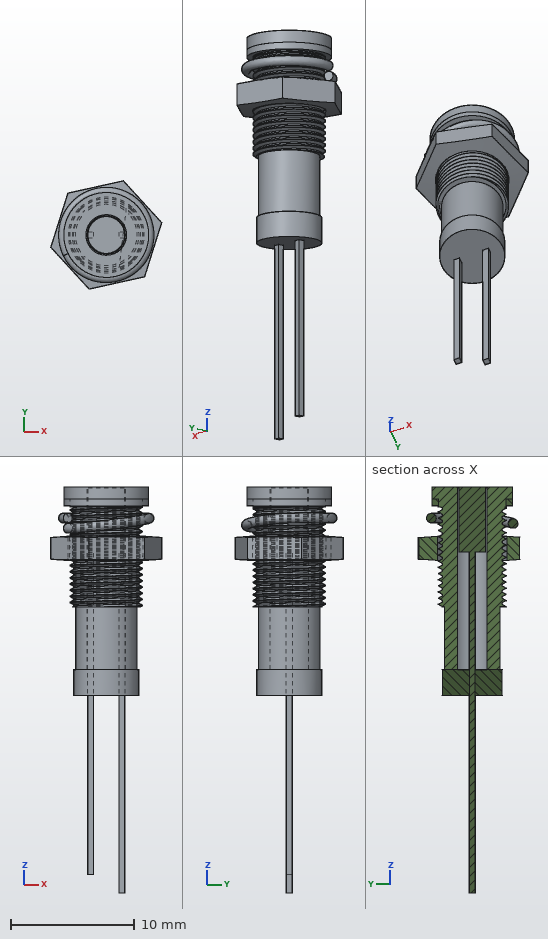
import cadquery as cq
import math


BEZEL_BOTTOM = -1.0
GASKET_BOTTOM = -1.55
NECK_BOTTOM = -1.65
NUT_TOP = -4.0
THREAD_BOTTOM = -9.75
BARREL_BOTTOM = -14.85
CAP_BOTTOM = -16.95
SHORT_LEAD_END = -31.5
LONG_LEAD_END = -33.0

BEZEL_DIA = 6.9
BARREL_DIA = 5.0
BORE_DIA = 3.1
BORE_MOUTH_CHAMFER = 0.1

THREAD_MAJOR_DIA = 5.9
THREAD_ROOT_DIA = 5.3
THREAD_PITCH = 0.5
THREAD_FLANK_ANGLE = 30
THREAD_CREST_WIDTH = 0.04
THREAD_EMBED = 0.1
THREAD_PHASE_Z = -6.14

NUT_ACROSS_FLATS = 8.0
NUT_THICKNESS = 2.0
NUT_TURN = 12.5
NUT_BORE_DIA = THREAD_MAJOR_DIA + 0.05
NUT_CORNER_DROP = 0.12

WASHER_WIRE_DIA = 0.8
WASHER_OUTER_DIA = 7.75
WASHER_RISE = 0.83
WASHER_END_Z = -2.54
WASHER_START_ANGLE = 206
WASHER_CLIMB_ANGLE = 170
WASHER_CURVE_POINTS = 72

CAP_DIA = 5.3

LED_DIA = 3.0
LED_LENGTH = 5.3
LEAD_SIZE = 0.5
LEAD_SPACING = 2.54


def cylinder(diameter, top, bottom):
    return cq.Workplane("XY").workplane(offset=bottom).circle(diameter / 2).extrude(top - bottom)


def make_thread_ridge():
    """Helical ridge, trimmed flat at the neck and at the barrel."""
    crest_radius = THREAD_MAJOR_DIA / 2
    inner_radius = THREAD_ROOT_DIA / 2 - THREAD_EMBED
    half_crest = THREAD_CREST_WIDTH / 2
    half_base = half_crest + (crest_radius - inner_radius) * math.tan(math.radians(THREAD_FLANK_ANGLE))
    turns_below = math.ceil((THREAD_PHASE_Z - THREAD_BOTTOM) / THREAD_PITCH) + 1
    turns_above = math.ceil((NECK_BOTTOM - THREAD_PHASE_Z) / THREAD_PITCH) + 1
    profile = cq.Workplane("XZ").polyline([
        (inner_radius, -half_base),
        (crest_radius, -half_crest),
        (crest_radius, half_crest),
        (inner_radius, half_base),
    ]).close()
    height = (turns_below + turns_above) * THREAD_PITCH
    helix = cq.Workplane(obj=cq.Wire.makeHelix(THREAD_PITCH, height, inner_radius))
    ridge = profile.sweep(helix, isFrenet=True)
    ridge = ridge.translate((0, 0, THREAD_PHASE_Z - turns_below * THREAD_PITCH))
    return ridge.intersect(cylinder(BEZEL_DIA, NECK_BOTTOM, THREAD_BOTTOM))


def make_housing():
    """Bezel, neck, threaded length and barrel, bored through for the LED."""
    body = cylinder(THREAD_ROOT_DIA, NECK_BOTTOM, THREAD_BOTTOM).union(make_thread_ridge())
    body = body.union(cylinder(THREAD_MAJOR_DIA, BEZEL_BOTTOM, NECK_BOTTOM))
    body = body.union(cylinder(BEZEL_DIA, 0, BEZEL_BOTTOM))
    body = body.union(cylinder(BARREL_DIA, THREAD_BOTTOM, BARREL_BOTTOM))
    body = body.cut(cylinder(BORE_DIA, 0, BARREL_BOTTOM))
    bore_mouth = cq.selectors.RadiusNthSelector(0)
    return body.faces(">Z").edges(bore_mouth).chamfer(BORE_MOUTH_CHAMFER)


def make_gasket():
    return cylinder(BEZEL_DIA, BEZEL_BOTTOM, GASKET_BOTTOM).cut(
        cylinder(THREAD_MAJOR_DIA, BEZEL_BOTTOM, GASKET_BOTTOM)
    )


def washer_centre(turn):
    """Centre of the wire after a fraction of the turn, counted from the +X side."""
    coil_radius = (WASHER_OUTER_DIA - WASHER_WIRE_DIA) / 2
    angle = turn * 2 * math.pi
    climbed = min(angle / math.radians(WASHER_CLIMB_ANGLE), 1)
    drop = WASHER_RISE * (1 + math.cos(math.pi * climbed)) / 2
    return coil_radius * math.cos(angle), coil_radius * math.sin(angle), WASHER_END_Z - drop


def make_washer():
    path = cq.Workplane("XY").parametricCurve(washer_centre, N=WASHER_CURVE_POINTS, makeWire=True)
    section = cq.Workplane("XZ", origin=washer_centre(0)).circle(WASHER_WIRE_DIA / 2)
    return section.sweep(path, isFrenet=True).rotate((0, 0, 0), (0, 0, 1), WASHER_START_ANGLE)


def make_nut():
    """Hex nut whose end faces slope slightly from the bore to the corners."""
    corner_dia = NUT_ACROSS_FLATS / math.cos(math.pi / 6)
    bottom = NUT_TOP - NUT_THICKNESS
    prism = cq.Workplane("XY").workplane(offset=bottom).polygon(6, corner_dia).extrude(NUT_THICKNESS)
    prism = prism.rotate((0, 0, 0), (0, 0, 1), NUT_TURN)
    envelope = cq.Workplane("XZ").polyline([
        (0, bottom),
        (NUT_BORE_DIA / 2, bottom),
        (corner_dia / 2, bottom + NUT_CORNER_DROP),
        (corner_dia / 2, NUT_TOP - NUT_CORNER_DROP),
        (NUT_BORE_DIA / 2, NUT_TOP),
        (0, NUT_TOP),
    ]).close().revolve(360, (0, 0, 0), (0, 1, 0))
    return prism.intersect(envelope).cut(cylinder(NUT_BORE_DIA, NUT_TOP, bottom))


def make_led():
    """Flat-topped LED with a short lead at -X and a long lead at +X."""
    led = cylinder(LED_DIA, 0, -LED_LENGTH)
    for side, end in ((-1, SHORT_LEAD_END), (1, LONG_LEAD_END)):
        lead = (
            cq.Workplane("XY")
            .workplane(offset=end)
            .center(side * LEAD_SPACING / 2, 0)
            .rect(LEAD_SIZE, LEAD_SIZE)
            .extrude(-LED_LENGTH - end)
        )
        led = led.union(lead)
    return led


def make_end_cap(led):
    """Plain disc with a fitting hole for each lead."""
    return cylinder(CAP_DIA, BARREL_BOTTOM, CAP_BOTTOM).cut(led)


housing = make_housing()
gasket = make_gasket()
washer = make_washer()
nut = make_nut()
led = make_led()
end_cap = make_end_cap(led)

result = cq.Compound.makeCompound([
    housing.val(),
    gasket.val(),
    washer.val(),
    nut.val(),
    led.val(),
    end_cap.val(),
])